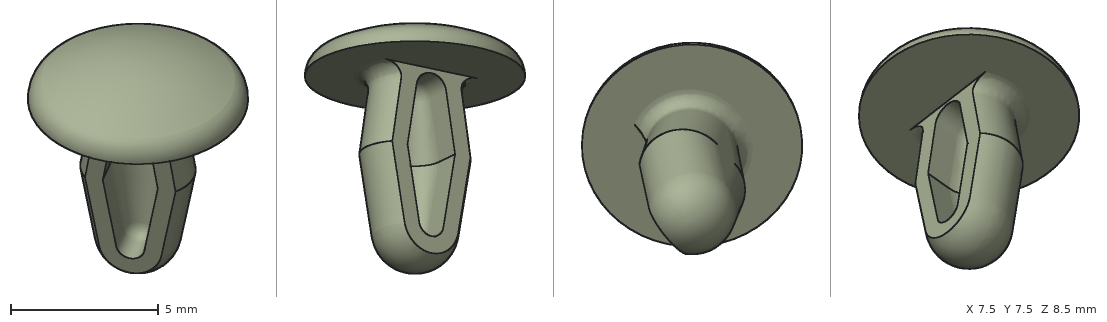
import cadquery as cq
import math

HEIGHT = 8.5
HEAD_RADIUS = 3.75
HEAD_BASE_Z = 7.0
DOME_RADIUS = 3.3
DOME_EDGE_Z = 7.75
DOME_SPHERE_RADIUS = (DOME_RADIUS**2 + (HEIGHT - DOME_EDGE_Z)**2) / (2 * (HEIGHT - DOME_EDGE_Z))

RIM_INSET = HEAD_RADIUS - DOME_RADIUS
RIM_RADIUS = (RIM_INSET**2 + (DOME_EDGE_Z - HEAD_BASE_Z)**2) / (2 * RIM_INSET)

LEG_RADIUS = 1.5
TIP_CENTER_Z = LEG_RADIUS
WAIST_Z = 4.11
WAIST_OFFSET = 0.47
NECK_OFFSET = 0.02
NECK_FILLET = 0.5
FLAT_Y = -1.0

POCKET_WAIST_RADIUS = 0.97
POCKET_BOTTOM_RADIUS = 0.5
POCKET_BOTTOM_CENTER_Z = TIP_CENTER_Z
POCKET_TOP_RADIUS = 0.61
POCKET_TOP_Z = 6.84
POCKET_TOP_CENTER_Z = POCKET_TOP_Z - POCKET_TOP_RADIUS


def make_head():
    dome_mid_x = DOME_RADIUS / 2
    dome_center_z = HEIGHT - DOME_SPHERE_RADIUS
    dome_mid_z = dome_center_z + math.sqrt(DOME_SPHERE_RADIUS**2 - dome_mid_x**2)
    return (
        cq.Workplane("XZ")
        .moveTo(0, HEAD_BASE_Z)
        .lineTo(HEAD_RADIUS, HEAD_BASE_Z)
        .radiusArc((DOME_RADIUS, DOME_EDGE_Z), -RIM_RADIUS)
        .threePointArc((dome_mid_x, dome_mid_z), (0, HEIGHT))
        .close()
        .revolve(360, (0, 0, 0), (0, 1, 0))
    )


def make_leg(start, end, side, low_z, high_z):
    """Leg cylinder through (x, z) points, trimmed level at low_z and high_z.

    It begins square at start unless the trim is reached first; side is 1 or -1.
    """
    axis = cq.Vector(side * (end[0] - start[0]), 0, end[1] - start[1])
    base = cq.Vector(side * start[0], 0, start[1])
    leg = cq.Workplane(cq.Solid.makeCylinder(LEG_RADIUS, HEIGHT, base, axis))
    slab = (
        cq.Workplane()
        .box(2 * HEIGHT, 2 * HEIGHT, high_z - low_z, centered=(True, True, False))
        .translate((0, 0, low_z))
    )
    return leg.intersect(slab)


def make_stem():
    tip = (0, TIP_CENTER_Z)
    waist = (WAIST_OFFSET, WAIST_Z)
    neck = (NECK_OFFSET, HEAD_BASE_Z)
    below_waist = (2 * waist[0] - neck[0], 2 * waist[1] - neck[1])
    web = (
        cq.Workplane("XZ")
        .polyline([tip, waist, neck, (-neck[0], neck[1]), (-waist[0], waist[1])])
        .close()
        .extrude(LEG_RADIUS, both=True)
    )
    stem = web.union(cq.Workplane().sphere(LEG_RADIUS).translate((0, 0, TIP_CENTER_Z)))
    for side in (1, -1):
        stem = stem.union(make_leg(tip, waist, side, 0, WAIST_Z))
        stem = stem.union(make_leg(below_waist, neck, side, WAIST_Z, HEAD_BASE_Z))
    return stem


def fillet_neck(body):
    reach = LEG_RADIUS + WAIST_OFFSET
    gap = 0.01
    neck_zone = cq.selectors.BoxSelector(
        (-reach, -reach, HEAD_BASE_Z - gap), (reach, reach, HEAD_BASE_Z + gap), boundingbox=True
    )
    return body.edges(neck_zone).fillet(NECK_FILLET)


def cut_flat(body):
    """Remove everything below the head that lies in front of the flat face."""
    waste = (
        cq.Workplane()
        .box(2 * HEAD_RADIUS, HEAD_RADIUS, HEAD_BASE_Z, centered=(True, False, False))
        .translate((0, FLAT_Y - HEAD_RADIUS, 0))
    )
    return body.cut(waste)


def tangent_point(radius, center_z):
    """Point (x, z) where a line from the pocket waist touches an end circle."""
    rise = center_z - WAIST_Z
    distance = math.hypot(POCKET_WAIST_RADIUS, rise)
    direction = math.atan2(-rise, POCKET_WAIST_RADIUS)
    swing = math.copysign(math.acos(radius / distance), rise)
    angle = direction + swing
    return radius * math.cos(angle), center_z + radius * math.sin(angle)


def pocket_half_profile():
    top_x, top_z = tangent_point(POCKET_TOP_RADIUS, POCKET_TOP_CENTER_Z)
    bottom_x, bottom_z = tangent_point(POCKET_BOTTOM_RADIUS, POCKET_BOTTOM_CENTER_Z)
    return (
        cq.Workplane("XZ")
        .moveTo(0, POCKET_TOP_Z)
        .radiusArc((top_x, top_z), POCKET_TOP_RADIUS)
        .lineTo(POCKET_WAIST_RADIUS, WAIST_Z)
        .lineTo(bottom_x, bottom_z)
        .radiusArc((0, POCKET_BOTTOM_CENTER_Z - POCKET_BOTTOM_RADIUS), POCKET_BOTTOM_RADIUS)
        .close()
    )


def make_pocket():
    half_mouth = pocket_half_profile().extrude(-FLAT_Y)
    mouth = half_mouth.union(half_mouth.mirror("YZ"))
    floor = pocket_half_profile().revolve(360, (0, 0, 0), (0, 1, 0))
    return mouth.union(floor)


body = fillet_neck(make_head().union(make_stem()))
result = cut_flat(body).cut(make_pocket())